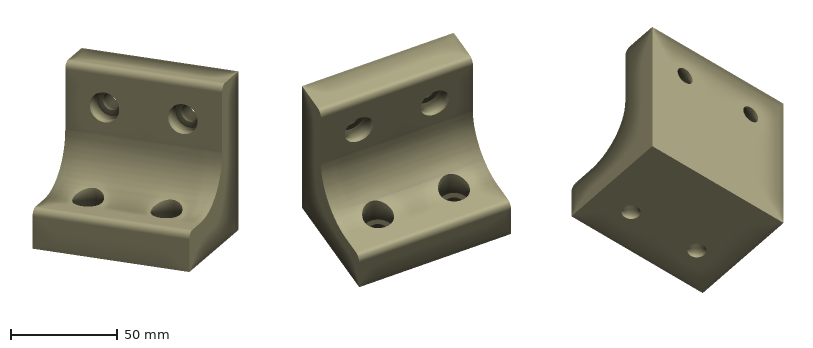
import cadquery as cq

width = 80.0
depth = 60.0
height = 80.0
thickness = 20.0
inner_radius = 26.0
edge_radius = 3.5
hole_diameter = 9.0
counterbore_diameter = 15.0
counterbore_depth = 9.0

wall_face = depth - thickness
hole_spacing = width / 2
hole_inset = 20.0
hole_positions_x = [(width - hole_spacing) / 2, (width + hole_spacing) / 2]


def angle_body():
    """L-shaped profile with a concave inner corner, extruded along X."""
    profile = (
        cq.Workplane("YZ")
        .moveTo(0, 0)
        .lineTo(depth, 0)
        .lineTo(depth, height)
        .lineTo(wall_face, height)
        .lineTo(wall_face, thickness + inner_radius)
        .radiusArc((wall_face - inner_radius, thickness), inner_radius)
        .lineTo(0, thickness)
        .close()
    )
    return profile.extrude(width)


def round_free_edges(body):
    """Round the inner-side edge at the free end of each leg."""
    wall_edge = cq.selectors.NearestToPointSelector((width / 2, wall_face, height))
    base_edge = cq.selectors.NearestToPointSelector((width / 2, 0, thickness))
    return body.edges(wall_edge).fillet(edge_radius).edges(base_edge).fillet(edge_radius)


def counterbored_cutter(seat, direction):
    """Through hole plus a counterbore open toward the inner side of the bracket.

    seat is the counterbore floor centre; direction points out of the bore.
    """
    reach = height
    plane = cq.Plane(origin=seat, xDir=(1, 0, 0), normal=direction)
    hole = cq.Workplane(plane).circle(hole_diameter / 2).extrude(reach, both=True)
    bore = cq.Workplane(plane).circle(counterbore_diameter / 2).extrude(reach)
    return hole.union(bore)


result = round_free_edges(angle_body())

for x in hole_positions_x:
    wall_seat = (x, wall_face + counterbore_depth, height - hole_inset)
    base_seat = (x, hole_inset, thickness - counterbore_depth)
    result = result.cut(counterbored_cutter(wall_seat, (0, -1, 0)))
    result = result.cut(counterbored_cutter(base_seat, (0, 0, 1)))